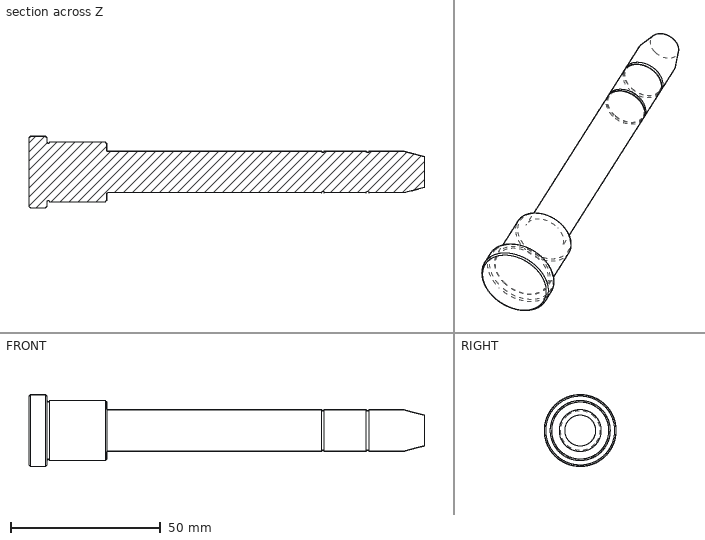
import cadquery as cq

total_length = 132.0

head_diameter = 24.0
head_length = 6.1
head_chamfer = 0.5

collar_diameter = 20.0
collar_end = 26.0
collar_chamfer = 0.5

shank_diameter = 14.0
shank_fillet = 0.3

tip_length = 7.0
tip_diameter = 10.3

relief_width = 0.8

groove_depth = 0.4
grooves = [(97.7, 0.8), (112.5, 1.0)]


def turned_stem():
    """Revolve the head, collar, shank and conical tip about X."""
    head_radius = head_diameter / 2
    collar_radius = collar_diameter / 2
    shank_radius = shank_diameter / 2
    profile = (
        cq.Workplane("XY")
        .moveTo(0, 0)
        .lineTo(0, head_radius - head_chamfer)
        .lineTo(head_chamfer, head_radius)
        .lineTo(head_length - head_chamfer, head_radius)
        .lineTo(head_length, head_radius - head_chamfer)
        .lineTo(head_length, collar_radius)
        .lineTo(collar_end - collar_chamfer, collar_radius)
        .lineTo(collar_end, collar_radius - collar_chamfer)
        .lineTo(collar_end, shank_radius + shank_fillet)
        .radiusArc((collar_end + shank_fillet, shank_radius), -shank_fillet)
        .lineTo(total_length - tip_length, shank_radius)
        .lineTo(total_length, tip_diameter / 2)
        .lineTo(total_length, 0)
        .close()
    )
    return profile.revolve(360, (0, 0, 0), (1, 0, 0))


def groove_ring(start, width, outer_diameter, depth):
    """Ring that cuts a round-bottomed groove to the given depth below a diameter."""
    outer_radius = outer_diameter / 2
    return (
        cq.Workplane("XY")
        .moveTo(start, outer_radius)
        .threePointArc((start + width / 2, outer_radius - depth), (start + width, outer_radius))
        .close()
        .revolve(360, (0, 0, 0), (1, 0, 0))
    )


result = turned_stem()
result = result.cut(groove_ring(head_length, relief_width, collar_diameter, groove_depth))
for groove_start, groove_width in grooves:
    result = result.cut(groove_ring(groove_start, groove_width, shank_diameter, groove_depth))